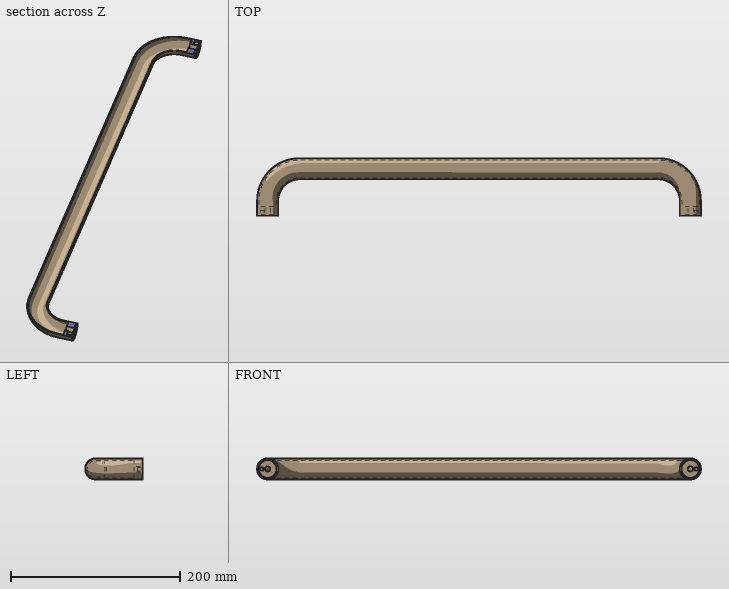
import cadquery as cq

length = 525.0
depth = 68.0
tube_diameter = 25.0
wall = 2.0
leg_length = 18.0

plug_recess = 1.5
plug_thickness = 9.5

screw_hole_diameter = 6.5
pin_hole_diameter = 4.0
pin_hole_depth = 5.0
pin_offset = 7.0

tube_radius = tube_diameter / 2
bore_radius = tube_radius - wall
leg_x = length / 2 - tube_radius
grip_y = depth - tube_radius
bend_radius = grip_y - leg_length


def make_tube():
    """Hollow tube swept along two legs, two quarter bends and a straight grip."""
    grip_end_x = leg_x - bend_radius
    bend_mid = bend_radius * 0.5**0.5
    bend_mid_x = grip_end_x + bend_mid
    bend_mid_y = leg_length + bend_mid
    path = (
        cq.Workplane("XY")
        .moveTo(-leg_x, 0)
        .lineTo(-leg_x, leg_length)
        .threePointArc((-bend_mid_x, bend_mid_y), (-grip_end_x, grip_y))
        .lineTo(grip_end_x, grip_y)
        .threePointArc((bend_mid_x, bend_mid_y), (leg_x, leg_length))
        .lineTo(leg_x, 0)
    )
    section = cq.Workplane("XZ", origin=(-leg_x, 0, 0)).circle(tube_radius).circle(bore_radius)
    return section.sweep(path)


def rod(x, radius, rod_length):
    """Cylinder along +Y that starts at the plug's outer face."""
    return cq.Workplane("XZ", origin=(x, plug_recess, 0)).circle(radius).extrude(-rod_length)


def make_plug(side):
    """End plug; the blind hole lies toward the outer side of the handle."""
    x = side * leg_x
    plug = rod(x, bore_radius, plug_thickness)
    plug = plug.cut(rod(x, screw_hole_diameter / 2, plug_thickness))
    return plug.cut(rod(x + side * pin_offset, pin_hole_diameter / 2, pin_hole_depth))


result = make_tube()
for side in (-1, 1):
    result = result.union(make_plug(side))